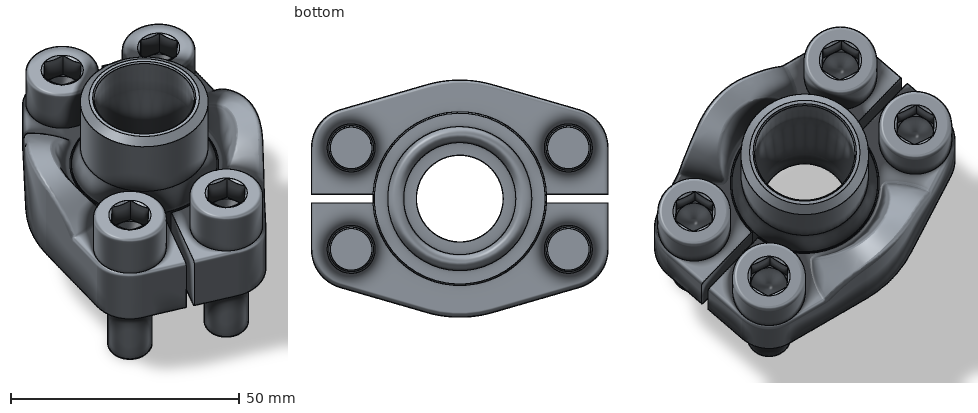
import cadquery as cq
import math


flange_length = 65.0
flange_width = 52.0
flange_thickness = 14.0
corner_radius = 8.7
apex_radius = flange_width / 2
edge_fillet = 1.0
split_gap = 1.9

hump_ball_radius = 22.4
hump_ball_z = 0.0
hump_top = hump_ball_z + hump_ball_radius
bowl_radius = 17.35
bowl_slope = 0.4

screw_x = flange_length / 2 - corner_radius
screw_y = 11.1
screw_places = [(x, y) for x in (-screw_x, screw_x) for y in (-screw_y, screw_y)]
screw_hole_diameter = 10.5

shaft_diameter = 9.75
shaft_length = 29.95
shaft_tip_inset = 0.3
shaft_tip_height = 0.5
head_diameter = 16.0
head_height = 10.0
head_fillet = 1.0
hex_width = 8.0
hex_corner_diameter = hex_width / math.cos(math.radians(30))
hex_depth = 5.85
hex_turn = 39.5
drill_tip_slope = math.tan(math.radians(30))
hex_countersink_slope = math.tan(math.radians(30))

lip_diameter = 38.1
lip_bottom = -0.3
lip_bottom_chamfer = 0.3
lip_top = 6.25
lip_top_chamfer = 0.65
shoulder_diameter = 32.0
shoulder_top = 14.2
cone_diameter = 31.6
cone_bottom = 14.55
tube_diameter = 28.0
tube_bottom = 19.4
neck_top = 34.4
bevel_diameter = 24.2
bevel_height = 1.3
pipe_bore_diameter = 22.0
pipe_bore_depth = 8.45
pipe_bore_chamfer = 0.3
through_bore_diameter = 19.0
through_bore_top = lip_top

clamp_bore_diameter = shoulder_diameter
clamp_bore_chamfer = 0.3

ring_section = 3.5
ring_outer_diameter = 31.6
ring_bottom = -1.55
ring_centre_z = ring_bottom + ring_section / 2
ring_centre_radius = (ring_outer_diameter - ring_section) / 2
groove_top = ring_bottom + ring_section


def revolve_about_z(points):
    """Solid of revolution about Z from (radius, z) points."""
    return cq.Workplane("XZ").polyline(points).close().revolve(360, (0, 0, 0), (0, 1, 0))


def half_outline():
    """The +Y half of the clamp outline: apex arc, two slanted sides and two round corners."""
    tangent_angle = math.atan2(screw_y, screw_x) + math.acos(
        (apex_radius - corner_radius) / math.hypot(screw_x, screw_y)
    )

    def corner_point(angle, side):
        x = screw_x + corner_radius * math.cos(angle)
        return side * x, screw_y + corner_radius * math.sin(angle)

    def apex_point(side):
        return side * apex_radius * math.cos(tangent_angle), apex_radius * math.sin(tangent_angle)

    return (
        cq.Workplane("XY")
        .moveTo(flange_length / 2, 0)
        .lineTo(*corner_point(0, 1))
        .threePointArc(corner_point(tangent_angle / 2, 1), corner_point(tangent_angle, 1))
        .lineTo(*apex_point(1))
        .threePointArc((0, apex_radius), apex_point(-1))
        .lineTo(*corner_point(tangent_angle, -1))
        .threePointArc(corner_point(tangent_angle / 2, -1), corner_point(0, -1))
        .lineTo(-flange_length / 2, 0)
        .close()
    )


def hump():
    """Domed boss at the apex, open towards the neck."""
    ball = (
        cq.Workplane("XY", origin=(0, apex_radius, hump_ball_z))
        .moveTo(0, -hump_ball_radius)
        .threePointArc((hump_ball_radius, 0), (0, hump_ball_radius))
        .close()
        .revolve(360, (0, 0, 0), (0, 1, 0))
    )
    bowl = revolve_about_z([
        (0, 0),
        (bowl_radius - bowl_slope * flange_thickness, 0),
        (bowl_radius + bowl_slope * (hump_top - flange_thickness), hump_top),
        (0, hump_top),
    ])
    return half_outline().extrude(hump_top).intersect(ball).cut(bowl)


def rear_clamp_half():
    blank = half_outline().extrude(flange_thickness).union(hump())
    blank = blank.edges("not(|Z or <Y)").fillet(edge_fillet)
    bore_radius = clamp_bore_diameter / 2
    neck_bore = revolve_about_z([
        (0, 0),
        (bore_radius, 0),
        (bore_radius, flange_thickness - clamp_bore_chamfer),
        (bore_radius + clamp_bore_chamfer, flange_thickness),
        (0, flange_thickness),
    ])
    lip_recess = cq.Workplane("XY").circle(lip_diameter / 2).extrude(lip_top)
    screw_holes = (
        cq.Workplane("XY").pushPoints(screw_places).circle(screw_hole_diameter / 2).extrude(flange_thickness)
    )
    split = cq.Workplane("XY").box(flange_length, split_gap, 2 * hump_top)
    return blank.cut(neck_bore).cut(lip_recess).cut(screw_holes).cut(split)


def screw(x, y):
    """Screw whose head rests on the clamp."""
    head = cq.Workplane("XY").circle(head_diameter / 2).extrude(head_height)
    head = head.faces(">Z").edges().fillet(head_fillet)
    tip_radius = shaft_diameter / 2 - shaft_tip_inset
    shaft = revolve_about_z([
        (0, 0),
        (shaft_diameter / 2, 0),
        (shaft_diameter / 2, shaft_tip_height - shaft_length),
        (tip_radius, -shaft_length),
        (0, -shaft_length),
    ])
    hexagon = (
        cq.Workplane("XY", origin=(0, 0, head_height))
        .transformed(rotate=(0, 0, hex_turn))
        .polygon(6, hex_corner_diameter)
        .extrude(-hex_depth)
    )
    hex_floor = head_height - hex_depth
    drill_tip = revolve_about_z([
        (0, hex_floor),
        (hex_width / 2, hex_floor),
        (0, hex_floor - hex_width / 2 * drill_tip_slope),
    ])
    countersink = revolve_about_z([
        (0, head_height),
        (hex_corner_diameter / 2, head_height),
        (0, head_height - hex_corner_diameter / 2 * hex_countersink_slope),
    ])
    body = head.union(shaft).cut(hexagon).cut(drill_tip).cut(countersink)
    return body.translate((x, y, flange_thickness))


def weld_neck():
    profile = [
        (through_bore_diameter / 2, lip_bottom),
        (lip_diameter / 2 - lip_bottom_chamfer, lip_bottom),
        (lip_diameter / 2, lip_bottom + lip_bottom_chamfer),
        (lip_diameter / 2, lip_top - lip_top_chamfer),
        (lip_diameter / 2 - lip_top_chamfer, lip_top),
        (shoulder_diameter / 2, lip_top),
        (shoulder_diameter / 2, shoulder_top),
        (cone_diameter / 2, cone_bottom),
        (tube_diameter / 2, tube_bottom),
        (tube_diameter / 2, neck_top - bevel_height),
        (bevel_diameter / 2, neck_top),
        (pipe_bore_diameter / 2 + pipe_bore_chamfer, neck_top),
        (pipe_bore_diameter / 2, neck_top - pipe_bore_chamfer),
        (pipe_bore_diameter / 2, neck_top - pipe_bore_depth),
        (through_bore_diameter / 2, through_bore_top),
    ]
    groove_inner_radius = ring_centre_radius - ring_section / 2
    groove = revolve_about_z([
        (groove_inner_radius, lip_bottom),
        (ring_outer_diameter / 2, lip_bottom),
        (ring_outer_diameter / 2, groove_top),
        (groove_inner_radius, groove_top),
    ])
    return revolve_about_z(profile).cut(groove)


def o_ring():
    return (
        cq.Workplane("XZ")
        .center(ring_centre_radius, ring_centre_z)
        .circle(ring_section / 2)
        .revolve(360, (-ring_centre_radius, 0, 0), (-ring_centre_radius, 1, 0))
    )


rear_half = rear_clamp_half()
front_half = rear_half.mirror("XZ")
neck = weld_neck()
ring = o_ring()
screws = [screw(x, y) for x, y in screw_places]

result = cq.Compound.makeCompound(
    [rear_half.val(), front_half.val(), neck.val(), ring.val(), *[body.val() for body in screws]]
)